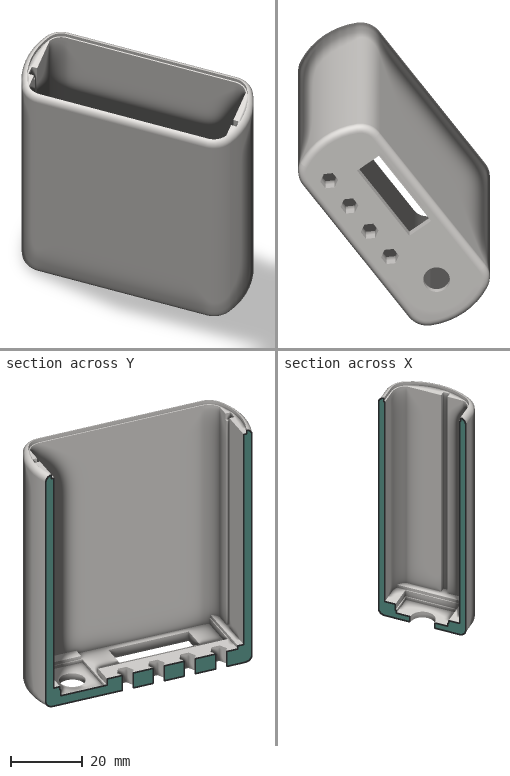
import cadquery as cq
import math

LENGTH = 66.0
WIDTH = 26.5
HEIGHT = 75.2
FLAT_LENGTH = 49.7
CORNER_RADIUS = 6.5
EDGE_ROUND = 2.0

LIP_WALL = 1.65
LIP_DEPTH = 1.2
CAVITY_WALL = 2.0
CAVITY_LENGTH = 57.8

SLOT_SPAN = 61.0
SLOT_TOP_Y = -1.9
SLOT_WIDTH = 1.95
LEAD_IN_WIDTH = 2.75
LEAD_IN_DEPTH = 2.0

SHOULDER_Z = 6.0
PANEL_Z = 5.0
BLOCK_Z = 4.0
DISPLAY_Z = 3.0
JACK_Z = 2.0

FLOOR_LENGTH = 54.2
DISPLAY_LEFT = -26.8
DISPLAY_RIGHT = 12.8
DISPLAY_TOP = 1.75
JACK_LEFT = 13.3
JACK_RIGHT = 26.55
JACK_TOP = 7.75
JACK_BOTTOM = -7.75
JACK_MARGIN = 0.3
BLOCK_LEFT = 13.6

HEX_ACROSS_CORNERS = 5.0
HEX_COUNT = 4
HEX_PITCH = 9.5
HEX_FIRST_X = -22.0
HEX_Y = 6.2
WINDOW_SIZE = (24.5, 7.55)
WINDOW_CENTER = (-7.6, -5.65)
JACK_HOLE_DIAMETER = 7.4
JACK_HOLE_CENTER = (19.85, -0.1)


def rounded_outline(inset):
    """Closed outline with straight long sides, bowed ends and tangent corners, moved inward by inset."""
    half_flat = FLAT_LENGTH / 2
    corner_y = WIDTH / 2 - CORNER_RADIUS
    overhang = LENGTH / 2 - half_flat
    end_radius = (overhang**2 + corner_y**2 - CORNER_RADIUS**2) / (2 * (overhang - CORNER_RADIUS))
    end_center_x = LENGTH / 2 - end_radius
    tangent_angle = math.atan2(corner_y, half_flat - end_center_x)
    middle_angle = (tangent_angle + math.pi / 2) / 2

    radius = CORNER_RADIUS - inset
    top = WIDTH / 2 - inset
    tip = LENGTH / 2 - inset
    mid_x = half_flat + radius * math.cos(middle_angle)
    mid_y = corner_y + radius * math.sin(middle_angle)
    join_x = half_flat + radius * math.cos(tangent_angle)
    join_y = corner_y + radius * math.sin(tangent_angle)
    return (
        cq.Workplane("XY")
        .moveTo(-half_flat, top)
        .lineTo(half_flat, top)
        .threePointArc((mid_x, mid_y), (join_x, join_y))
        .threePointArc((tip, 0), (join_x, -join_y))
        .threePointArc((mid_x, -mid_y), (half_flat, -top))
        .lineTo(-half_flat, -top)
        .threePointArc((-mid_x, -mid_y), (-join_x, -join_y))
        .threePointArc((-tip, 0), (-join_x, join_y))
        .threePointArc((-mid_x, mid_y), (-half_flat, top))
        .close()
    )


def block(left, right, bottom, top, z_low, z_high):
    """Box given by its six limits."""
    size = (right - left, top - bottom, z_high - z_low)
    return cq.Workplane("XY").box(*size, centered=False).translate((left, bottom, z_low))


def centered_block(length, z_low, z_high):
    """Box over the full width of the part, centred on the Z axis."""
    return block(-length / 2, length / 2, -WIDTH / 2, WIDTH / 2, z_low, z_high)


def outer_body():
    """Solid body; the lip recess trims its rounded top edge, which leaves the rim exactly at HEIGHT."""
    trimmed_height = EDGE_ROUND - math.sqrt(EDGE_ROUND**2 - (EDGE_ROUND - LIP_WALL)**2)
    return rounded_outline(0).extrude(HEIGHT + trimmed_height).faces("<Z or >Z").edges().fillet(EDGE_ROUND)


def lip_recess():
    return rounded_outline(LIP_WALL).extrude(HEIGHT).translate((0, 0, HEIGHT - LIP_DEPTH))


def floor_pockets():
    """Steps of the floor below the shoulders: panel, display pocket, raised block and jack pocket."""
    half_floor = FLOOR_LENGTH / 2
    side = WIDTH / 2
    panel = centered_block(FLOOR_LENGTH, PANEL_Z, HEIGHT)
    display = block(DISPLAY_LEFT, BLOCK_LEFT, -side, DISPLAY_TOP, DISPLAY_Z, HEIGHT)
    margin_right = JACK_RIGHT + JACK_MARGIN
    margin_bottom = JACK_BOTTOM - JACK_MARGIN
    margin_top = JACK_TOP + JACK_MARGIN
    jack_margin = block(DISPLAY_RIGHT, margin_right, margin_bottom, margin_top, DISPLAY_Z, HEIGHT)
    low_block = block(BLOCK_LEFT, half_floor, -side, margin_bottom, BLOCK_Z, HEIGHT)
    jack = block(JACK_LEFT, JACK_RIGHT, JACK_BOTTOM, JACK_TOP, JACK_Z, HEIGHT)
    return panel.union(display).union(jack_margin).union(low_block).union(jack)


def cavity():
    """Main hollow with its flat end walls and the stepped floor."""
    steps = centered_block(CAVITY_LENGTH, SHOULDER_Z, HEIGHT).union(floor_pockets())
    return rounded_outline(CAVITY_WALL).extrude(HEIGHT).intersect(steps)


def board_slots():
    half_span = SLOT_SPAN / 2
    ledge_z = HEIGHT - LIP_DEPTH
    slots = block(-half_span, half_span, SLOT_TOP_Y - SLOT_WIDTH, SLOT_TOP_Y, SHOULDER_Z, ledge_z)
    lead_in_z = ledge_z - LEAD_IN_DEPTH
    lead_in = block(-half_span, 0, SLOT_TOP_Y - LEAD_IN_WIDTH, SLOT_TOP_Y, lead_in_z, ledge_z)
    return slots.union(lead_in)


def floor_openings():
    hex_centers = [(HEX_FIRST_X + i * HEX_PITCH, HEX_Y) for i in range(HEX_COUNT)]
    hexes = cq.Workplane("XY").pushPoints(hex_centers).polygon(6, HEX_ACROSS_CORNERS).extrude(SHOULDER_Z)
    window = cq.Workplane("XY").center(*WINDOW_CENTER).rect(*WINDOW_SIZE).extrude(SHOULDER_Z)
    jack_radius = JACK_HOLE_DIAMETER / 2
    jack_hole = cq.Workplane("XY").center(*JACK_HOLE_CENTER).circle(jack_radius).extrude(SHOULDER_Z)
    return hexes.union(window).union(jack_hole)


result = outer_body().cut(lip_recess()).cut(cavity()).cut(board_slots()).cut(floor_openings())